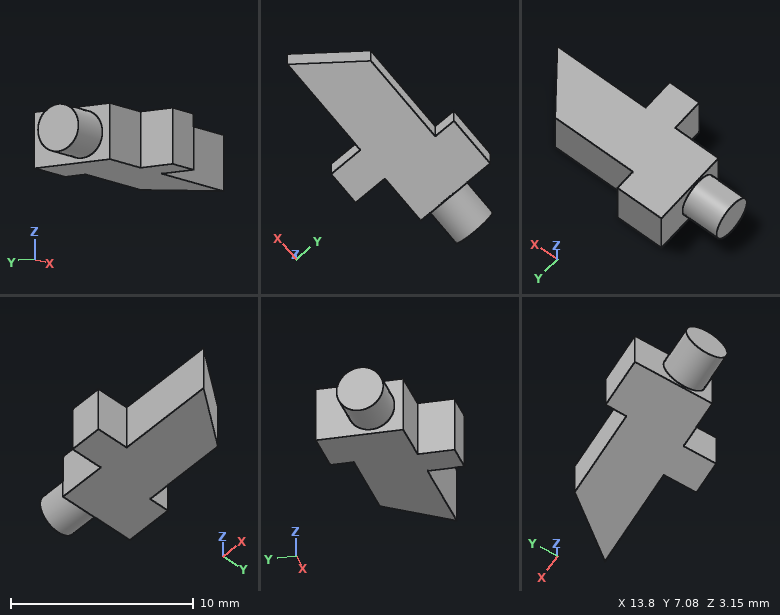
import cadquery as cq

total_length = 13.8
total_width = 7.08
thickness = 3.15

pin_diameter = 2.65
pin_length = 2.4

head_length = 3.1
head_width = 4.98
blade_width = 3.65
tip_length = 2.8
tab_start = 5.46
tab_length = 2.1
tab_width = total_width - head_width

head_end = pin_length + head_length
blade_shoulder = total_length - tip_length
tab_end = tab_start + tab_length
pin_center_y = blade_width / 2

body = (
    cq.Workplane("XY")
    .moveTo(pin_length, 0)
    .lineTo(tab_start, 0)
    .lineTo(tab_start, -tab_width)
    .lineTo(tab_end, -tab_width)
    .lineTo(tab_end, 0)
    .lineTo(total_length, 0)
    .lineTo(blade_shoulder, blade_width)
    .lineTo(head_end, blade_width)
    .lineTo(head_end, head_width)
    .lineTo(pin_length, head_width)
    .close()
    .extrude(thickness)
)

pin = (
    cq.Workplane("YZ")
    .center(pin_center_y, thickness / 2)
    .circle(pin_diameter / 2)
    .extrude(pin_length)
)

result = body.union(pin)